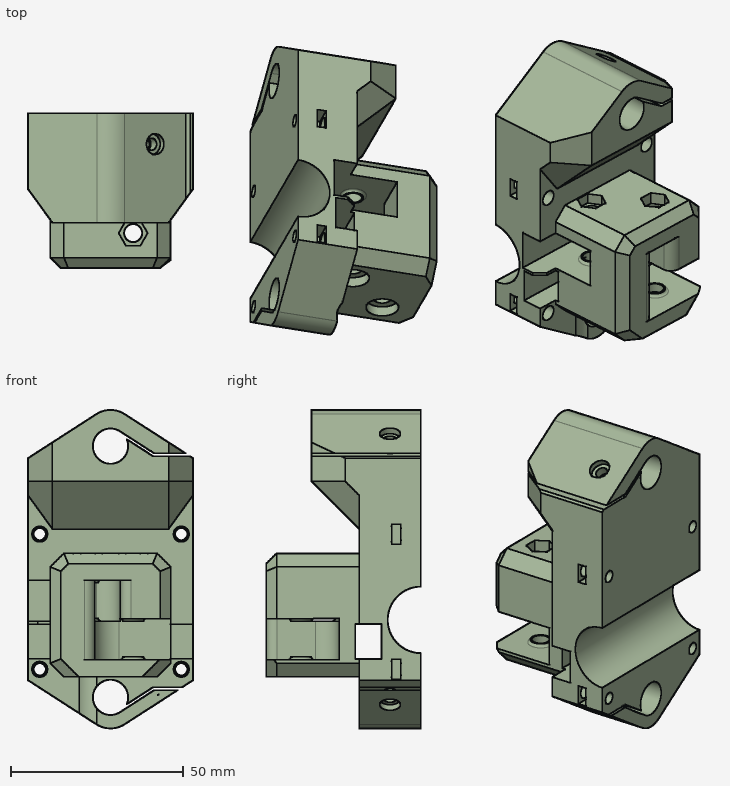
import cadquery as cq
import math

half_width = 24.0
half_height = 46.3
plate_front = -18.0
over = 0.9

slope = math.radians(32.8)
tip_radius = 7.5

head_front = -31.9
head_face_half_width = 16.85
head_side_front = -22.0
head_bottom_front = 25.6

rod_diameter = 10.2
rod_centres = {"top": 35.7, "bottom": -37.2}
slot_width = 0.8
slot_offset = 2.5
clamp_screw_x = 13.0
clamp_screw_y = plate_front / 2
clamp_screw_depth = 14.8
clamp_head_diameter = 6.0
clamp_head_depth = 1.9
small_screw_diameter = 3.5

block_half_width = 17.5
block_front = -45.0
block_top = 4.6
block_bottom = -31.3
block_corner = 4.0
block_chamfer = 3.1

pulley_x = 6.6
pulley_step = 12.9
upper_pulley_y = -21.9
cavity_back = -10.9
cavity_front = -32.0
cavity_height = 11.9
upper_cavity_top = -3.15
lower_cavity_top = -14.35
cavity_corner_radius = 6.9
window_centre_x = -0.8
window_half_width = 3.7
window_flare = 3.1

bolt_diameter = 5.2
nut_across_corners = 8.4
rear_nut_depth = 3.15
front_nut_depth = 3.6
bolt_head_depth = 3.1
bolt_head_diameter = 9.4
ring_rim_diameter = 6.0
ring_height = 0.8

channel_back = -11.5
channel_front = -19.1
channel_top = -15.9
channel_bottom = -26.0
web_corner = 2.9
groove_radius = 9.6
groove_z = -14.7

mount_x = 20.6
mount_heights = (10.2, -29.1)
mount_clearance_diameter = 4.5
nut_slot_back = -5.8
nut_slot_front = -8.5
nut_slot_height = 5.7

cavity_bottoms = {
    "upper": upper_cavity_top - cavity_height,
    "lower": lower_cavity_top - cavity_height,
}
lower_pulley_y = upper_pulley_y - pulley_step


def box(x_range, y_range, z_range):
    """Axis-aligned box given its (low, high) limits."""
    ranges = (x_range, y_range, z_range)
    size = [high - low for low, high in ranges]
    return cq.Workplane("XY").box(*size, centered=False).translate([low for low, high in ranges])


def z_cylinder(x, y, diameter, z_low, z_high):
    return cq.Workplane("XY", origin=(x, y, z_low)).circle(diameter / 2).extrude(z_high - z_low)


def xz_plane():
    """Sketch plane in X and Z; positive extrusion goes forward, toward -Y."""
    return cq.Workplane("XZ")


def outline(depth):
    """Plate outline extruded forward from the back face."""
    tip_centre = half_height - tip_radius
    tangent_x = tip_radius * math.sin(slope)
    tangent_z = tip_centre + tip_radius * math.cos(slope)
    corner_z = tangent_z - (half_width - tangent_x) * math.tan(slope)
    return (
        xz_plane()
        .moveTo(half_width, -corner_z)
        .lineTo(half_width, corner_z)
        .lineTo(tangent_x, tangent_z)
        .threePointArc((0, half_height), (-tangent_x, tangent_z))
        .lineTo(-half_width, corner_z)
        .lineTo(-half_width, -corner_z)
        .lineTo(-tangent_x, -tangent_z)
        .threePointArc((0, -half_height), (tangent_x, -tangent_z))
        .close()
        .extrude(depth)
    )


def clamp_head():
    """Deep upper end with bevelled front corners and a 45 degree underside."""
    section = (
        cq.Workplane("XY", origin=(0, 0, head_bottom_front))
        .moveTo(-half_width, 0)
        .lineTo(-half_width, head_side_front)
        .lineTo(-head_face_half_width, head_front)
        .lineTo(head_face_half_width, head_front)
        .lineTo(half_width, head_side_front)
        .lineTo(half_width, 0)
        .close()
    )
    upright = section.extrude(half_height - head_bottom_front)
    overhang = plate_front - head_front
    slide = cq.Vector(0, overhang, -overhang)
    sloping = cq.Workplane(cq.Solid.extrudeLinear(section.wires().val(), [], slide))
    return outline(-head_front).intersect(upright.union(sloping))


def pulley_block():
    block = box((-block_half_width, block_half_width), (block_front, plate_front), (block_bottom, block_top))
    block = block.edges("|Y").chamfer(block_corner)
    front = block.faces("<Y")
    bevelled = front.edges("not <Z").chamfer(block_chamfer)
    jaw_space = box(
        (-block_half_width, block_half_width),
        (block_front, plate_front),
        (block_bottom, cavity_bottoms["lower"]),
    )
    lower_jaw = front.edges("not (<Z or >X)").chamfer(block_chamfer).intersect(jaw_space)
    return bevelled.union(lower_jaw)


def rod_clamp(centre, side):
    """Rod bore, clamping slot and screw hole; side is +1 at the top tip and -1 at the bottom."""
    depth = -head_front
    bore_radius = rod_diameter / 2
    slot_outer = -slot_offset + slot_width / 2
    slot_inner = -slot_offset - slot_width / 2

    def sloped_line_x(distance, height):
        return (distance - height * math.cos(slope)) / math.sin(slope)

    tangent = (bore_radius * math.sin(slope), bore_radius * math.cos(slope))
    inner_distance = bore_radius - slot_width
    inner_start = (inner_distance * math.sin(slope), inner_distance * math.cos(slope))
    end_x = half_width + over
    points = [
        tangent,
        (sloped_line_x(bore_radius, slot_outer), slot_outer),
        (end_x, slot_outer),
        (end_x, slot_inner),
        (sloped_line_x(inner_distance, slot_inner), slot_inner),
        inner_start,
    ]
    slot = xz_plane().polyline([(x, centre + side * z) for x, z in points]).close().extrude(depth)
    bore = xz_plane().center(0, centre).circle(bore_radius).extrude(depth)

    surface_z = half_height - tip_radius + tip_radius / math.cos(slope) - clamp_screw_x * math.tan(slope)
    inward = cq.Vector(-math.sin(slope), 0, -side * math.cos(slope))
    entry = cq.Vector(clamp_screw_x, clamp_screw_y, side * surface_z)
    start = entry - inward * over
    screw = cq.Solid.makeCylinder(small_screw_diameter / 2, clamp_screw_depth + over, start, inward)
    head = cq.Solid.makeCylinder(clamp_head_diameter / 2, clamp_head_depth + over, start, inward)
    return bore.union(slot).union(cq.Workplane(screw)).union(cq.Workplane(head))


def turn_cavity(side, back, front, top):
    """Belt turn reaching out toward X = side, with a rounded inner back corner."""
    wall_x = window_centre_x - side * window_half_width
    outer_x = side * (half_width + over)
    cavity = box(
        (min(wall_x, outer_x), max(wall_x, outer_x)),
        (front, back),
        (top - cavity_height, top),
    )
    inner_edge = "<X" if side > 0 else ">X"
    return cavity.faces(">Y").edges(inner_edge).fillet(cavity_corner_radius)


def front_window(z_low, z_high):
    """Front passage into the cavities, flared by a convex round on both sides."""
    left = window_centre_x - window_half_width
    right = window_centre_x + window_half_width
    flare_start = block_front + window_flare
    inside = 1 - math.sqrt(0.5)
    return (
        cq.Workplane("XY", origin=(0, 0, z_low))
        .moveTo(left, cavity_front)
        .lineTo(left, flare_start)
        .threePointArc(
            (left - window_flare * inside, block_front + window_flare * inside),
            (left - window_flare, block_front),
        )
        .lineTo(right + window_flare, block_front)
        .threePointArc(
            (right + window_flare * inside, block_front + window_flare * inside),
            (right, flare_start),
        )
        .lineTo(right, cavity_front)
        .close()
        .extrude(z_high - z_low)
    )


def spacer_ring(x, y, z, direction):
    """Ring on a cavity floor (+1) or ceiling (-1), with a hollow flare at its foot."""
    rim_radius = ring_rim_diameter / 2
    foot_radius = rim_radius + ring_height
    inside = ring_height * (1 - math.sqrt(0.5))
    return (
        cq.Workplane("XZ", origin=(x, y, z))
        .lineTo(foot_radius, 0)
        .threePointArc((rim_radius + inside, direction * inside), (rim_radius, direction * ring_height))
        .lineTo(0, direction * ring_height)
        .close()
        .revolve(360, (0, 0, 0), (0, 1, 0))
    )


def pulley_bolt(x, y, nut_depth):
    """Through bolt with a hexagonal nut pocket above and a round head recess below."""
    shank = z_cylinder(x, y, bolt_diameter, -half_height, block_top)
    nut = (
        cq.Workplane("XY", origin=(x, y, block_top - nut_depth))
        .polygon(6, nut_across_corners)
        .extrude(nut_depth)
    )
    head = z_cylinder(x, y, bolt_head_diameter, -half_height, block_bottom + bolt_head_depth)
    return shank.union(nut).union(head)


def mount_screw(side, z):
    """Stepped screw hole from the front and a nut slot from the side."""
    slot_middle = (nut_slot_back + nut_slot_front) / 2
    x = side * mount_x
    hole = xz_plane().center(x, z).circle(small_screw_diameter / 2).extrude(-plate_front)
    clearance = (
        cq.Workplane("XZ", origin=(x, slot_middle, z))
        .circle(mount_clearance_diameter / 2)
        .extrude(slot_middle - plate_front)
    )
    inner_x = x - side * nut_slot_height / 2
    outer_x = side * (half_width + over)
    nut_slot = box(
        (min(inner_x, outer_x), max(inner_x, outer_x)),
        (nut_slot_front, nut_slot_back),
        (z - nut_slot_height / 2, z + nut_slot_height / 2),
    )
    return hole.union(clearance).union(nut_slot)


body = outline(-plate_front).union(clamp_head()).union(pulley_block())

body = body.cut(turn_cavity(-1, cavity_back, cavity_front, upper_cavity_top))
body = body.cut(turn_cavity(1, cavity_back - pulley_step, block_front - over, lower_cavity_top))
body = body.cut(front_window(cavity_bottoms["lower"], upper_cavity_top))
for x, y, top, bottom, nut_depth in (
    (-pulley_x, upper_pulley_y, upper_cavity_top, cavity_bottoms["upper"], rear_nut_depth),
    (pulley_x, lower_pulley_y, lower_cavity_top, cavity_bottoms["lower"], front_nut_depth),
):
    body = body.union(spacer_ring(x, y, top, -1)).union(spacer_ring(x, y, bottom, 1))
    body = body.cut(pulley_bolt(x, y, nut_depth))

through_x = (-half_width - over, half_width + over)
body = body.cut(box(through_x, (channel_front, channel_back), (channel_bottom, channel_top)))
web_bevel = (
    cq.Workplane("XY", origin=(0, 0, channel_top))
    .moveTo(-half_width, plate_front)
    .lineTo(-half_width + web_corner, plate_front)
    .lineTo(-half_width, plate_front + web_corner)
    .close()
    .extrude(cavity_bottoms["upper"] - channel_top)
)
body = body.cut(web_bevel)

back_groove = (
    cq.Workplane("YZ", origin=(-half_width, 0, groove_z))
    .circle(groove_radius)
    .extrude(2 * half_width)
)
body = body.cut(back_groove)

body = body.cut(rod_clamp(rod_centres["top"], 1))
body = body.cut(rod_clamp(rod_centres["bottom"], -1))
for side in (-1, 1):
    for z in mount_heights:
        body = body.cut(mount_screw(side, z))

result = body